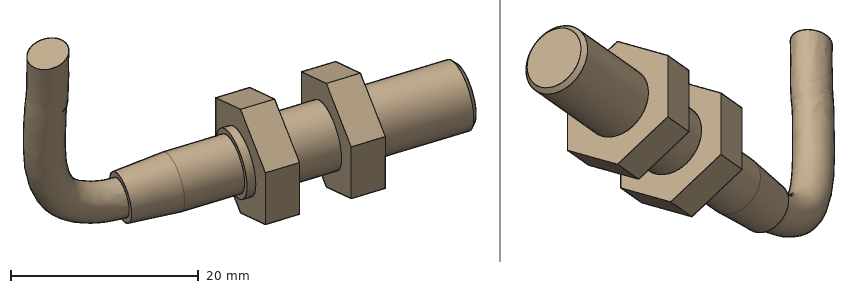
import cadquery as cq
import math

body_diameter = 8.0
body_length = 27.0
rear_chamfer = 0.5
sleeve_diameter = 6.7
sleeve_end = 34.0
taper_end = 40.0
taper_tip_diameter = 5.8

nut_across_flats = 13.0
nut_thickness = 4.0
rear_nut_start = 11.95
nut_pitch = 10.0
nut_count = 2

cable_diameter = 4.5
cable_reach = 8.9
cable_rise = 24.0
cable_end_reach = 8.5
cable_trim = 1.55
end_face_tilt = 12.0


def make_body():
    """Revolve the chamfered body, the sleeve and the tapered tip."""
    body_radius = body_diameter / 2
    sleeve_radius = sleeve_diameter / 2
    return (
        cq.Workplane("XY")
        .lineTo(body_radius - rear_chamfer, 0)
        .lineTo(body_radius, -rear_chamfer)
        .lineTo(body_radius, -body_length)
        .lineTo(sleeve_radius, -body_length)
        .lineTo(sleeve_radius, -sleeve_end)
        .lineTo(taper_tip_diameter / 2, -taper_end)
        .lineTo(0, -taper_end)
        .close()
        .revolve(360, (0, 0, 0), (0, 1, 0))
    )


def make_nut(start):
    """Hexagon nut with corners up and down, reaching from start toward -Y."""
    across_corners = nut_across_flats / math.cos(math.pi / 6)
    return (
        cq.Workplane("XZ", origin=(0, -start, 0))
        .transformed(rotate=(0, 0, 90))
        .polygon(6, across_corners)
        .extrude(nut_thickness)
    )


def make_cable():
    """Sweep the cable along a smooth bend and cut its end off at a slant."""
    bend_points = [
        (0, 0),
        (3.5, 0.6),
        (6.7, 2.6),
        (8.35, 5.8),
        (cable_reach, 10.5),
        (8.75, 16.35),
        (cable_end_reach, cable_rise + cable_trim),
    ]
    path = cq.Workplane("YZ").spline(
        [(-taper_end - reach, height) for reach, height in bend_points],
        tangents=[(-1, 0), (0, 1)],
    )
    cable = (
        cq.Workplane("XZ", origin=(0, -taper_end, 0))
        .circle(cable_diameter / 2)
        .sweep(path)
    )
    tilt = math.radians(end_face_tilt)
    end_plane = cq.Plane(
        origin=(0, -taper_end - cable_end_reach, cable_rise),
        xDir=(1, 0, 0),
        normal=(0, -math.sin(tilt), math.cos(tilt)),
    )
    waste_side = 2 * cable_diameter
    waste = cq.Workplane(end_plane).rect(waste_side, waste_side).extrude(waste_side)
    return cable.cut(waste)


result = make_body()
for nut_index in range(nut_count):
    result = result.union(make_nut(rear_nut_start + nut_index * nut_pitch))
result = result.union(make_cable())